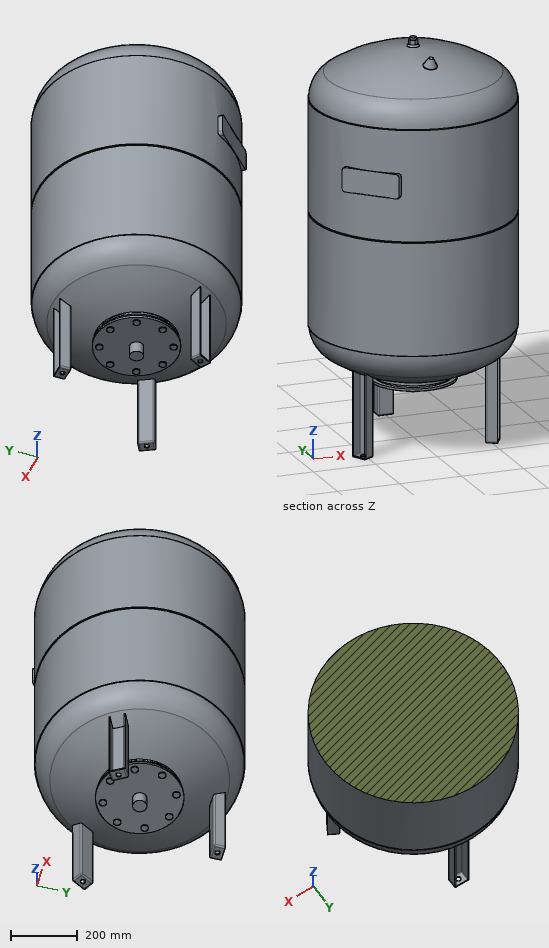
import cadquery as cq
import math

TOTAL_HEIGHT = 1267.0

SHELL_RADIUS = 317.0
HEAD_RADIUS = 314.0
KNUCKLE_RADIUS = 98.0
CROWN_RADIUS = 494.0
LOWER_SEAM_Z = 360.0
UPPER_SEAM_Z = 1077.0
MIDDLE_SEAM_Z = 720.0
SEAM_WIDTH = 4.0
SHELL_CHAMFER = 2.4
SEAM_DEPTH = SHELL_RADIUS - HEAD_RADIUS

RING_RADIUS = 129.0
RING_TOP_Z = 214.0
RING_BOTTOM_Z = 205.0
NECK_RADIUS = 118.0
FLANGE_RADIUS = 133.0
FLANGE_TOP_Z = 196.0
FLANGE_BOTTOM_Z = 189.0
BOLT_COUNT = 8
BOLT_CIRCLE_RADIUS = 111.0
BOLT_HEAD_RADIUS = 11.0
BOLT_HEAD_HEIGHT = 4.0
NOZZLE_RADIUS = 22.0
NOZZLE_BOTTOM_Z = 151.0

LEG_ANGLES = (90, 210, 330)
LEG_INNER_REACH = 223.0
LEG_OUTER_REACH = 260.0
LEG_WIDTH = 52.0
LEG_SHEET = 4.4
LEG_BEND_RADIUS = 5.0
LEG_TOP_Z = 323.0
FOOT_HOLE_RADIUS = 8.0

PLATE_ANGLE = 225
PLATE_WIDTH = 188.0
PLATE_HEIGHT = 77.0
PLATE_REACH = 318.0
PLATE_CENTER_Z = 900.0
PLATE_DEPTH = 25.0
PLATE_CORNER_RADIUS = 10.0

VALVE_BASE_RADIUS = 19.0
VALVE_CAP_RADIUS = 10.0
VALVE_HEX_SIZE = 29.0
VALVE_HEX_BOTTOM_Z = 1245.0
VALVE_HEX_TOP_Z = 1260.0
VALVE_HEX_TURN = 90
PORT_OFFSET = 141.0
PORT_BASE_RADIUS = 22.0
PORT_TIP_RADIUS = 6.0
PORT_HEIGHT = 28.0
PORT_RIM = 1.0
EMBED = 13.0

KNUCKLE_CENTER = HEAD_RADIUS - KNUCKLE_RADIUS
CROWN_DROP = math.sqrt((CROWN_RADIUS - KNUCKLE_RADIUS) ** 2 - KNUCKLE_CENTER ** 2)
HEAD_HEIGHT = CROWN_RADIUS - CROWN_DROP
CROWN_ANGLE = math.atan2(CROWN_DROP, KNUCKLE_CENTER)


def cylinder(radius, bottom, top):
    return cq.Workplane("XY").workplane(offset=bottom).circle(radius).extrude(top - bottom)


def dished_head():
    """Solid torispherical head standing on the XY plane."""
    half_angle = CROWN_ANGLE / 2
    mid_angle = (CROWN_ANGLE + math.pi / 2) / 2

    def knuckle_point(angle):
        return (
            KNUCKLE_CENTER + KNUCKLE_RADIUS * math.cos(angle),
            KNUCKLE_RADIUS * math.sin(angle),
        )

    def crown_point(angle):
        return (CROWN_RADIUS * math.cos(angle), CROWN_RADIUS * math.sin(angle) - CROWN_DROP)

    return (
        cq.Workplane("XZ")
        .lineTo(HEAD_RADIUS, 0)
        .threePointArc(knuckle_point(half_angle), knuckle_point(CROWN_ANGLE))
        .threePointArc(crown_point(mid_angle), (0, HEAD_HEIGHT))
        .close()
        .revolve(360, (0, 0, 0), (0, 1, 0))
    )


def vessel():
    shell = cylinder(SHELL_RADIUS, LOWER_SEAM_Z, UPPER_SEAM_Z)
    shell = shell.faces(">Z").edges().chamfer(SHELL_CHAMFER)
    groove_bottom = MIDDLE_SEAM_Z - SEAM_WIDTH / 2
    groove_top = MIDDLE_SEAM_Z + SEAM_WIDTH / 2
    groove = cylinder(SHELL_RADIUS, groove_bottom, groove_top).cut(
        cylinder(SHELL_RADIUS - SEAM_DEPTH, groove_bottom, groove_top)
    )
    upper_head = dished_head().translate((0, 0, UPPER_SEAM_Z))
    lower_head = dished_head().mirror("XY").translate((0, 0, LOWER_SEAM_Z))
    return shell.cut(groove).union(upper_head).union(lower_head)


def bottom_flange():
    ring = cylinder(RING_RADIUS, RING_BOTTOM_Z, RING_TOP_Z)
    neck = cylinder(NECK_RADIUS, FLANGE_TOP_Z, RING_BOTTOM_Z)
    flange = cylinder(FLANGE_RADIUS, FLANGE_BOTTOM_Z, FLANGE_TOP_Z)
    nozzle = cylinder(NOZZLE_RADIUS, NOZZLE_BOTTOM_Z, FLANGE_BOTTOM_Z)
    bolt_heads = (
        cq.Workplane("XY")
        .workplane(offset=FLANGE_BOTTOM_Z - BOLT_HEAD_HEIGHT)
        .polarArray(BOLT_CIRCLE_RADIUS, 180 / BOLT_COUNT, 360, BOLT_COUNT)
        .circle(BOLT_HEAD_RADIUS)
        .extrude(BOLT_HEAD_HEIGHT)
    )
    return ring.union(neck).union(flange).union(bolt_heads).union(nozzle)


def leg(angle):
    """Channel leg whose open side faces away from the vessel axis."""
    depth = LEG_OUTER_REACH - LEG_INNER_REACH
    middle = (LEG_OUTER_REACH + LEG_INNER_REACH) / 2
    channel = (
        cq.Workplane("XY")
        .box(depth, LEG_WIDTH, LEG_TOP_Z, centered=(True, True, False))
        .edges("(<X and |Z) or (<Z and (not >X))")
        .fillet(LEG_BEND_RADIUS)
        .faces(">X or >Z")
        .shell(-LEG_SHEET)
        .translate((middle, 0, 0))
    )
    foot_hole = cylinder(FOOT_HOLE_RADIUS, 0, LEG_TOP_Z).translate((middle, 0, 0))
    return channel.cut(foot_hole).rotate((0, 0, 0), (0, 0, 1), angle)


def name_plate():
    return (
        cq.Workplane("XY")
        .box(PLATE_DEPTH, PLATE_WIDTH, PLATE_HEIGHT)
        .edges("|X")
        .fillet(PLATE_CORNER_RADIUS)
        .translate((PLATE_REACH - PLATE_DEPTH / 2, 0, PLATE_CENTER_Z))
        .rotate((0, 0, 0), (0, 0, 1), PLATE_ANGLE)
    )


def center_valve():
    apex = UPPER_SEAM_Z + HEAD_HEIGHT
    skirt = (
        cq.Workplane("XY")
        .workplane(offset=apex)
        .circle(VALVE_BASE_RADIUS)
        .workplane(offset=VALVE_HEX_BOTTOM_Z - apex)
        .circle(VALVE_HEX_SIZE / 2)
        .loft()
    )
    base = cylinder(VALVE_BASE_RADIUS, apex - EMBED, apex)
    hexagon = (
        cq.Workplane("XY")
        .workplane(offset=VALVE_HEX_BOTTOM_Z)
        .polygon(6, VALVE_HEX_SIZE)
        .extrude(VALVE_HEX_TOP_Z - VALVE_HEX_BOTTOM_Z)
        .rotate((0, 0, 0), (0, 0, 1), VALVE_HEX_TURN)
    )
    cap = cylinder(VALVE_CAP_RADIUS, VALVE_HEX_TOP_Z, TOTAL_HEIGHT)
    return base.union(skirt).union(hexagon).union(cap)


def side_port():
    """Small cone standing square to the crown, on the -Y side of the centre valve."""
    tilt = math.degrees(math.asin(PORT_OFFSET / CROWN_RADIUS))
    crown_center_z = UPPER_SEAM_Z - CROWN_DROP
    rim = cylinder(PORT_BASE_RADIUS, CROWN_RADIUS - EMBED, CROWN_RADIUS + PORT_RIM)
    cone = (
        cq.Workplane("XY")
        .workplane(offset=CROWN_RADIUS + PORT_RIM)
        .circle(PORT_BASE_RADIUS)
        .workplane(offset=PORT_HEIGHT - PORT_RIM)
        .circle(PORT_TIP_RADIUS)
        .loft()
    )
    port = rim.union(cone)
    return port.rotate((0, 0, 0), (1, 0, 0), tilt).translate((0, 0, crown_center_z))


tank = vessel()
for angle in LEG_ANGLES:
    tank = tank.union(leg(angle))
result = tank.union(bottom_flange()).union(name_plate()).union(center_valve()).union(side_port())